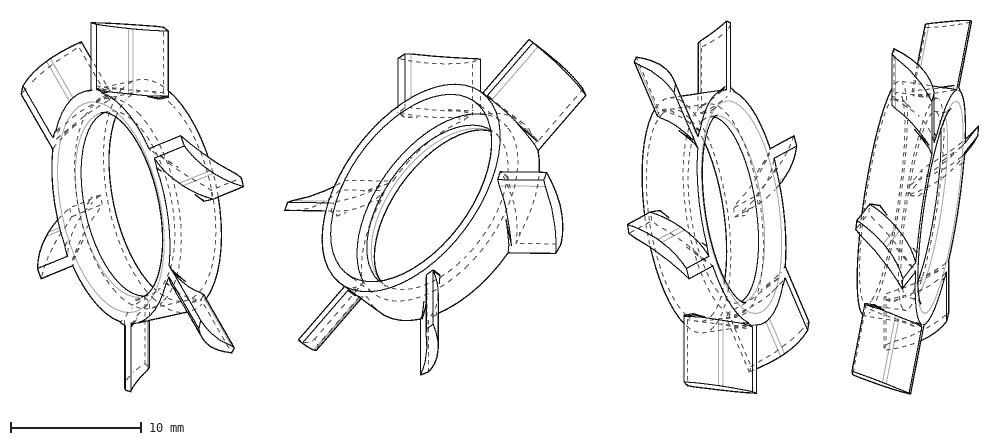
import cadquery as cq

ring_depth = 4.55
ring_radius = 18.18 / 2
throat_radius = 14.4 / 2
bore_radius = 16.4 / 2
lip_radius = bore_radius - throat_radius
throat_end = 1.5

blade_count = 6
tip_radius = 14.5
blade_depth = 4.03
front_edge_left = -3.07
front_edge_right = -2.23
rear_edge_right = 1.8

bar_front_left = -2.93
bar_front_right = -1.45
bar_top = 9.02

rear_flat_start = 3.68
front_flat_start = 1.5
front_flat_end = 1.77

rear_face_middle = (-0.93, 1.75)
front_face_lower_middle = (-1.0, 0.65)
front_face_upper_middle = (1.2, 2.93)


def on_bar(front_x, y):
    """Point at depth y on the 45 degree bar side that starts at front_x."""
    return (front_x + y, y)


def make_ring():
    """Ring with a rounded lip and a short throat in front of its wider bore."""
    lip_bulge = lip_radius * (1 - 0.5 ** 0.5)
    return (
        cq.Workplane("XY")
        .moveTo(bore_radius, 0)
        .lineTo(ring_radius, 0)
        .lineTo(ring_radius, ring_depth)
        .lineTo(bore_radius, ring_depth)
        .lineTo(bore_radius, throat_end)
        .lineTo(throat_radius, throat_end)
        .lineTo(throat_radius, lip_radius)
        .threePointArc((throat_radius + lip_bulge, lip_bulge), (bore_radius, 0))
        .close()
        .revolve(360, (0, 0, 0), (0, 1, 0))
    )


def make_root_bar():
    """Straight inclined bar that joins the blade to the ring."""
    return (
        cq.Workplane("XY")
        .workplane(offset=bore_radius)
        .polyline([
            (bar_front_left, 0),
            (bar_front_right, 0),
            on_bar(bar_front_right, rear_edge_right - bar_front_right),
            (rear_edge_right, blade_depth),
            on_bar(bar_front_left, blade_depth),
        ])
        .close()
        .extrude(bar_top - bore_radius)
    )


def make_blade():
    """Curved blade pointing along +Z, with its tip rounded to the tip radius."""
    prism = (
        cq.Workplane("XY")
        .workplane(offset=bore_radius)
        .moveTo(front_edge_left, 0)
        .lineTo(front_edge_right, 0)
        .threePointArc(front_face_lower_middle, on_bar(bar_front_right, front_flat_start))
        .lineTo(*on_bar(bar_front_right, front_flat_end))
        .threePointArc(front_face_upper_middle, (rear_edge_right, blade_depth))
        .lineTo(*on_bar(bar_front_left, blade_depth))
        .lineTo(*on_bar(bar_front_left, rear_flat_start))
        .threePointArc(rear_face_middle, (front_edge_left, 0))
        .close()
        .extrude(tip_radius - bore_radius)
    )
    tip_cylinder = cq.Workplane("XZ").circle(tip_radius).extrude(-ring_depth)
    return prism.intersect(tip_cylinder)


blade = make_blade().union(make_root_bar())
result = make_ring()
for index in range(blade_count):
    result = result.union(blade.rotate((0, 0, 0), (0, 1, 0), index * 360 / blade_count))